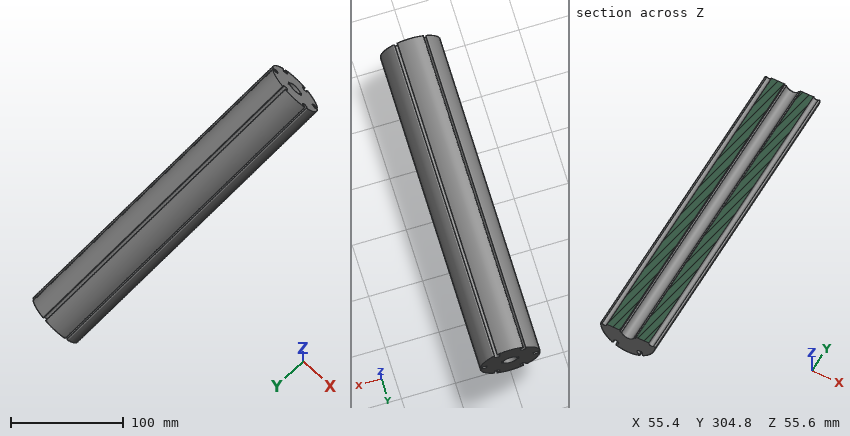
import cadquery as cq
import math

length = 304.8
outer_diameter = 55.5625

groove_count = 6
groove_pitch = 360 / groove_count
groove_radius = 23.9
groove_round_diameter = 5.2
groove_neck_width = 3.175
lip_radius = groove_neck_width / 4

bore_diameter = 13.1
keyway_width = 3.6
keyway_span = 15.875


def along_bar(sketch):
    """Extrude an XZ sketch over the full length, centred on Y = 0."""
    return sketch.extrude(length / 2, both=True)


def bar():
    return along_bar(cq.Workplane("XZ").circle(outer_diameter / 2))


def groove_mouth():
    """Cutter for the straight neck on the +X side and its two rounded lips."""
    outer_radius = outer_diameter / 2
    neck_half = groove_neck_width / 2

    axis_to_lip_centre = outer_radius - lip_radius
    lip_centre_z = neck_half + lip_radius
    lip_centre_x = math.sqrt(axis_to_lip_centre**2 - lip_centre_z**2)
    lip_end_angle = math.asin(lip_centre_z / axis_to_lip_centre)
    lip_end_x = outer_radius * math.cos(lip_end_angle)
    lip_end_z = outer_radius * math.sin(lip_end_angle)
    lip_middle_angle = (lip_end_angle - math.pi / 2) / 2
    lip_middle_x = lip_centre_x + lip_radius * math.cos(lip_middle_angle)
    lip_middle_z = lip_centre_z + lip_radius * math.sin(lip_middle_angle)

    return along_bar(
        cq.Workplane("XZ")
        .moveTo(groove_radius, -neck_half)
        .lineTo(lip_centre_x, -neck_half)
        .threePointArc((lip_middle_x, -lip_middle_z), (lip_end_x, -lip_end_z))
        .threePointArc((outer_radius, 0), (lip_end_x, lip_end_z))
        .threePointArc((lip_middle_x, lip_middle_z), (lip_centre_x, neck_half))
        .lineTo(groove_radius, neck_half)
        .close()
    )


def keyhole_groove():
    """Cutter for the groove on the +X side: a round bottom opening through a narrower mouth."""
    round_bottom = cq.Workplane("XZ").center(groove_radius, 0).circle(groove_round_diameter / 2)
    return along_bar(round_bottom).union(groove_mouth())


def keyed_bore():
    """Cutter for the through bore with keyways on the -X and +X sides."""
    bore = along_bar(cq.Workplane("XZ").circle(bore_diameter / 2))
    keyways = along_bar(cq.Workplane("XZ").rect(keyway_span, keyway_width))
    return bore.union(keyways)


result = bar().cut(keyed_bore())
groove = keyhole_groove()
for index in range(groove_count):
    result = result.cut(groove.rotate((0, 0, 0), (0, 1, 0), index * groove_pitch))